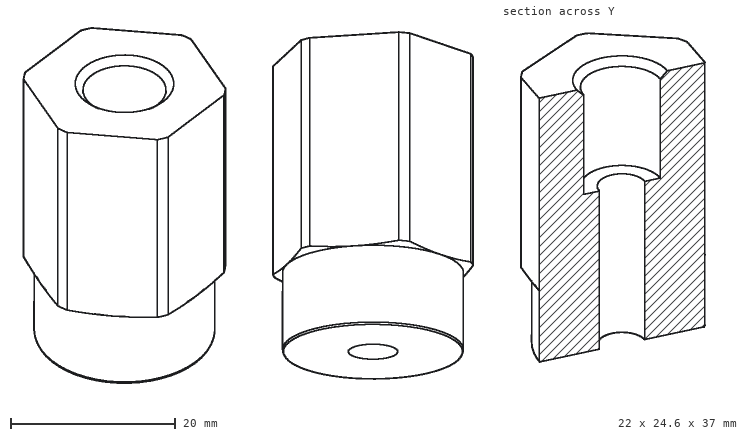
import cadquery as cq
import math

height = 37.0
across_flats = 22.0
across_corners = 24.65
collar_height = 10.05

underside_angle = 15.0
collar_chamfer_height = 0.25
collar_chamfer_width = 0.1

through_diameter = 6.0
bore_diameter = 10.1
bore_depth = 14.8
bore_mouth_diameter = 12.0

collar_radius = across_flats / 2
corner_radius = across_corners / 2


def make_envelope():
    """Turned shape: chamfered collar, conical shoulder and corner cylinder."""
    shoulder_rise = (corner_radius - collar_radius) * math.tan(math.radians(underside_angle))
    return (
        cq.Workplane("XZ")
        .moveTo(0, 0)
        .lineTo(collar_radius - collar_chamfer_width, 0)
        .lineTo(collar_radius, collar_chamfer_height)
        .lineTo(collar_radius, collar_height)
        .lineTo(corner_radius, collar_height + shoulder_rise)
        .lineTo(corner_radius, height)
        .lineTo(0, height)
        .close()
        .revolve(360, (0, 0, 0), (0, 1, 0))
    )


def make_hexagon():
    """Full-height hexagon with two flats facing -X and +X."""
    sharp_corner_diameter = across_flats / math.cos(math.radians(30))
    return (
        cq.Workplane("XY")
        .polygon(6, sharp_corner_diameter)
        .extrude(height)
        .rotate((0, 0, 0), (0, 0, 1), 30)
    )


def make_bore():
    """Through hole, wider upper bore and 45 degree countersink as one cutter."""
    through_radius = through_diameter / 2
    bore_radius = bore_diameter / 2
    mouth_radius = bore_mouth_diameter / 2
    countersink_depth = mouth_radius - bore_radius
    bore_floor = height - bore_depth
    return (
        cq.Workplane("XZ")
        .moveTo(0, 0)
        .lineTo(through_radius, 0)
        .lineTo(through_radius, bore_floor)
        .lineTo(bore_radius, bore_floor)
        .lineTo(bore_radius, height - countersink_depth)
        .lineTo(mouth_radius, height)
        .lineTo(0, height)
        .close()
        .revolve(360, (0, 0, 0), (0, 1, 0))
    )


result = make_envelope().intersect(make_hexagon()).cut(make_bore())